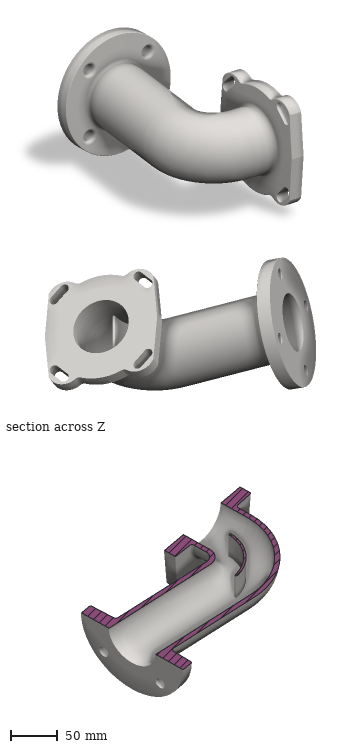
import cadquery as cq
import math

total_length = 261.0
outlet_half_width = 64.5
outlet_x = total_length - outlet_half_width
outlet_face_y = 63.5

pipe_radius = 38.0
bore_radius = 31.8
pipe_tilt = 8.2
bend_radius = 47.7
root_fillet = 3.1

vane_thickness = 3.1
vane_end_gap = 1.0

rim_thickness = 15.5
back_angle = 2.0
rim_fillet = 0.8

inlet_radius = 70.7
bolt_hole_radius = 6.3
bolt_offset = 39.1

outlet_disc_radius = 62.0
ear_radius = 20.5
ear_offset = 41.5
valley_fillet = 6.3
side_taper = 5.0
slot_offset = 48.0
slot_width = 10.5
slot_length = 26.5

back_slope = math.tan(math.radians(back_angle))
peak_thickness = rim_thickness + inlet_radius * back_slope

tilt = math.radians(pipe_tilt)
bend_x = outlet_x - bend_radius
bend_start_x = bend_x - bend_radius * math.sin(tilt)
bend_start_y = -bend_start_x * math.tan(tilt)
bend_y = bend_start_y + bend_radius * math.cos(tilt)

corner_signs = [(sx, sy) for sx in (-1, 1) for sy in (-1, 1)]


def corner_points(offset):
    """The four corners of a square with half side offset."""
    return [(sx * offset, sy * offset) for sx, sy in corner_signs]


def bend_point(radius, angle):
    """Point of the bend plane; angle runs from 0 facing -Y to a quarter turn facing +X."""
    return (bend_x + radius * math.sin(angle), bend_y - radius * math.cos(angle))


def swept_bar(radius, start_x):
    """Round bar along the pipe centre line, from start_x to the outlet face."""
    start = (start_x, -start_x * math.tan(tilt))
    bend_mid = bend_point(bend_radius, (math.pi / 2 - tilt) / 2)
    path = (
        cq.Workplane("XY")
        .moveTo(*start)
        .lineTo(bend_start_x, bend_start_y)
        .threePointArc(bend_mid, (outlet_x, bend_y))
        .lineTo(outlet_x, outlet_face_y)
    )
    start_plane = cq.Plane(
        origin=(*start, 0),
        xDir=(math.sin(tilt), math.cos(tilt), 0),
        normal=(math.cos(tilt), -math.sin(tilt), 0),
    )
    return cq.Workplane(start_plane).circle(radius).sweep(path)


def guide_vane():
    """Curved plate with round ends, taller than the bore."""
    half = vane_thickness / 2
    inner = bend_radius - half
    outer = bend_radius + half

    first_tip = math.radians(vane_end_gap)
    last_tip = math.pi / 2 - first_tip
    end_angle = math.asin(half / bend_radius)
    first = first_tip + end_angle
    last = last_tip - end_angle
    middle = math.pi / 4
    return (
        cq.Workplane("XY")
        .moveTo(*bend_point(inner, first))
        .threePointArc(bend_point(inner, middle), bend_point(inner, last))
        .threePointArc(bend_point(bend_radius, last_tip), bend_point(outer, last))
        .threePointArc(bend_point(outer, middle), bend_point(outer, first))
        .threePointArc(bend_point(bend_radius, first_tip), bend_point(inner, first))
        .close()
        .extrude(pipe_radius, both=True)
    )


def coned_disc(radius):
    """Disc with its flat face on XY and a gently coned back face towards +Z."""
    edge_thickness = peak_thickness - radius * back_slope
    return (
        cq.Workplane("XZ")
        .polyline([(0, 0), (radius, 0), (radius, edge_thickness), (0, peak_thickness)])
        .close()
        .revolve(360, (0, 0), (0, 1))
    )


def inlet_flange():
    """Round flange, flat face at X = 0, back face towards +X."""
    disc = coned_disc(inlet_radius).faces("%CONE").edges("%CIRCLE").fillet(rim_fillet)
    holes = (
        cq.Workplane("XY")
        .pushPoints(corner_points(bolt_offset))
        .circle(bolt_hole_radius)
        .extrude(peak_thickness)
    )
    return disc.cut(holes).rotate((0, 0, 0), (0, 1, 0), 90)


def outlet_flange():
    """Eared flange, flat face at Y = outlet_face_y, back face towards -Y."""
    ears = cq.Workplane("XY").pushPoints(corner_points(ear_offset))
    middle = cq.Workplane("XY").rect(2 * outlet_half_width, 2 * ear_offset)
    blank = (
        cq.Workplane("XY")
        .circle(outlet_disc_radius)
        .extrude(peak_thickness)
        .union(ears.circle(ear_radius).extrude(peak_thickness))
        .union(middle.extrude(peak_thickness))
    )

    reach = ear_offset + ear_radius
    end_half_width = outlet_half_width - reach * math.tan(math.radians(side_taper))
    sides = (
        cq.Workplane("XY")
        .moveTo(outlet_half_width, 0)
        .lineTo(end_half_width, reach)
        .lineTo(-end_half_width, reach)
        .lineTo(-outlet_half_width, 0)
        .lineTo(-end_half_width, -reach)
        .lineTo(end_half_width, -reach)
        .close()
        .extrude(peak_thickness)
    )
    blank = blank.intersect(sides)

    valley_zone = cq.selectors.BoxSelector(
        (-ear_offset, -reach, 0), (ear_offset, reach, peak_thickness)
    )
    blank = blank.edges("|Z").edges(valley_zone).fillet(valley_fillet)

    cone_radius = math.hypot(reach, reach)
    flange = blank.intersect(coned_disc(cone_radius))
    flange = flange.faces("%CONE").edges().fillet(rim_fillet)

    for sx, sy in corner_signs:
        slot = (
            cq.Workplane("XY")
            .center(sx * slot_offset, sy * slot_offset)
            .slot2D(slot_length, slot_width, -45 * sx * sy)
            .extrude(peak_thickness)
        )
        flange = flange.cut(slot)
    return flange.rotate((0, 0, 0), (1, 0, 0), 90).translate((outlet_x, outlet_face_y, 0))


body = inlet_flange().union(outlet_flange())

body = body.union(swept_bar(pipe_radius, rim_thickness / 2))
root_reach = pipe_radius + root_fillet
inlet_root = cq.selectors.BoxSelector(
    (rim_thickness, -root_reach, -root_reach),
    (peak_thickness, root_reach, root_reach),
    boundingbox=False,
)
outlet_root = cq.selectors.BoxSelector(
    (outlet_x - root_reach, outlet_face_y - peak_thickness, -root_reach),
    (outlet_x + root_reach, outlet_face_y - rim_thickness, root_reach),
    boundingbox=False,
)
body = body.edges(inlet_root + outlet_root).fillet(root_fillet)

bore = swept_bar(bore_radius, -rim_thickness).cut(guide_vane())
result = body.cut(bore)